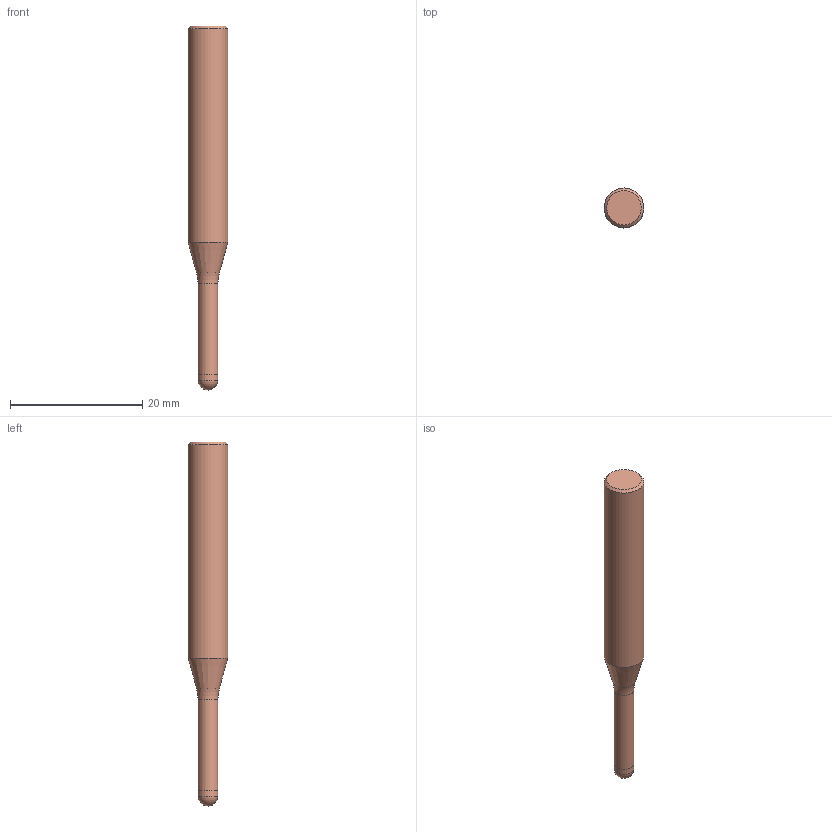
import cadquery as cq
import math

total_length = 55.0
shank_radius = 6.0 / 2
end_chamfer = 0.4

ball_radius = 3.0 / 2
tip_length = 2.4

neck_radius = ball_radius

cone_start = 16.9
cone_half_angle = math.radians(15.5)
cone_top = cone_start + (shank_radius - neck_radius) / math.tan(cone_half_angle)

blend_radius = 6.0
blend_bottom = cone_start - blend_radius * math.tan(cone_half_angle / 2)


def blend_point(angle):
    """Point (radius, height) on the blend arc, at an angle turned from the neck line."""
    return (
        neck_radius + blend_radius * (1 - math.cos(angle)),
        blend_bottom + blend_radius * math.sin(angle),
    )


def make_shank():
    """Neck, blended cone and shank with a chamfered end, revolved about Z."""
    profile = (
        cq.Workplane("XZ")
        .moveTo(0, tip_length)
        .lineTo(neck_radius, tip_length)
        .lineTo(neck_radius, blend_bottom)
        .threePointArc(blend_point(cone_half_angle / 2), blend_point(cone_half_angle))
        .lineTo(shank_radius, cone_top)
        .lineTo(shank_radius, total_length - end_chamfer)
        .lineTo(shank_radius - end_chamfer, total_length)
        .lineTo(0, total_length)
        .close()
    )
    return profile.revolve(360, (0, 0, 0), (0, 1, 0))


def make_cutting_tip():
    """Hemispherical nose under a short cylinder, revolved about Z."""
    profile = (
        cq.Workplane("XZ")
        .moveTo(0, 0)
        .radiusArc((ball_radius, ball_radius), -ball_radius)
        .lineTo(ball_radius, tip_length)
        .lineTo(0, tip_length)
        .close()
    )
    return profile.revolve(360, (0, 0, 0), (0, 1, 0))


shank = make_shank()
cutting_tip = make_cutting_tip()

result = cq.Compound.makeCompound([shank.val(), cutting_tip.val()])